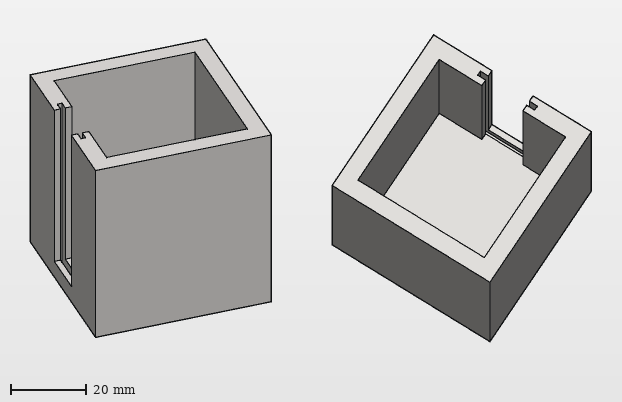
import cadquery as cq

side = 50.0
height = 53.0
wall = side / 10
floor = wall

window_width = 13.0
groove_width = 18.0
groove_thickness = 1.3
groove_setback = 1.8
groove_depth = (groove_width - window_width) / 2
groove_bottom = floor - groove_depth

front = -side / 2


def open_top_cut(width, depth, front_y, bottom_z):
    """Block centred on X, running from bottom_z up through the open top."""
    return cq.Workplane("XY").box(
        width, depth, height - bottom_z, centered=(True, False, False)
    ).translate((0, front_y, bottom_z))


body = cq.Workplane("XY").box(side, side, height, centered=(True, True, False))

inner_side = side - 2 * wall
cavity = open_top_cut(inner_side, inner_side, front + wall, floor)
window = open_top_cut(window_width, wall, front, floor)
groove = open_top_cut(groove_width, groove_thickness, front + groove_setback, groove_bottom)

result = body.cut(cavity).cut(window).cut(groove)